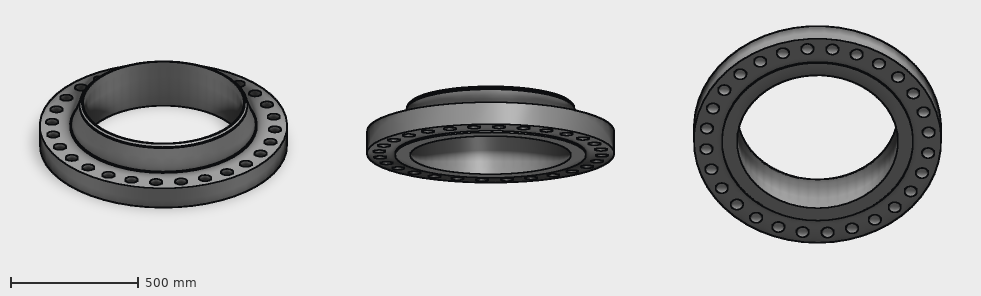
import cadquery as cq

flange_diameter = 971.0
flange_bottom = 7.0
flange_top = 95.0

raised_face_diameter = 750.0

total_height = 200.0
bore_diameter = 631.0
neck_tip_diameter = 641.0
neck_end_diameter = 659.0
bevel_height = 9.0
neck_land_height = 6.0
hub_base_diameter = 725.0
hub_foot_diameter = 734.0
hub_foot_height = 4.0

bolt_count = 28
bolt_circle_diameter = 876.0
bolt_hole_diameter = 49.0


def revolved_body():
    """Flange, raised face, hub and bore as one revolved section."""
    bevel_start = total_height - bevel_height
    land_start = bevel_start - neck_land_height
    section = [
        (bore_diameter / 2, 0),
        (raised_face_diameter / 2, 0),
        (raised_face_diameter / 2, flange_bottom),
        (flange_diameter / 2, flange_bottom),
        (flange_diameter / 2, flange_top),
        (hub_foot_diameter / 2, flange_top),
        (hub_base_diameter / 2, flange_top + hub_foot_height),
        (neck_end_diameter / 2, land_start),
        (neck_end_diameter / 2, bevel_start),
        (neck_tip_diameter / 2, total_height),
        (bore_diameter / 2, total_height),
    ]
    return cq.Workplane("XZ").polyline(section).close().revolve(360, (0, 0), (0, 1))


def bolt_holes():
    """Through holes evenly spaced on the bolt circle."""
    return (
        cq.Workplane("XY")
        .polarArray(bolt_circle_diameter / 2, 0, 360, bolt_count)
        .circle(bolt_hole_diameter / 2)
        .extrude(flange_top)
    )


result = revolved_body().cut(bolt_holes())